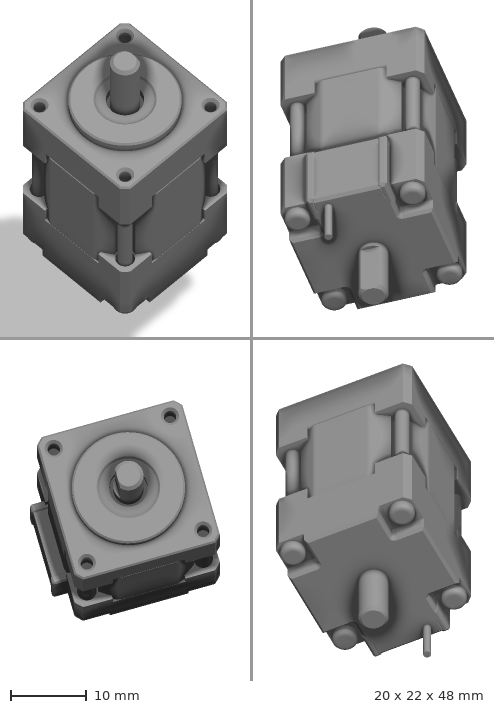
import cadquery as cq
import math


body_side = 20.0
body_height = 30.0
body_corner_diameter = 27.0
top_edge_chamfer = 0.25
bottom_edge_chamfer = 0.4
lower_cap_top = 11.0
upper_cap_bottom = 21.7

window_width = 10.0
window_bottom = 8.9
window_top = 24.0
window_depth = 1.0
window_bevel = 0.3

stator_diameter = 21.5
stator_across_flats = 19.95
stator_top = window_top - window_bevel
stator_groove_diameter = 3.0
stator_edge_fillet = 1.2

screw_offset = 8.0
screw_diameter = 2.0
screw_clearance_diameter = 2.6
screw_top = 24.5
screw_head_diameter = 3.4
screw_head_bottom = 0.4
screw_head_fillet = 0.65

pocket_inner_edge = 5.4
pocket_height = 1.75
pocket_corner_fillet = 0.4
pocket_floor_fillet = 0.3

mount_hole_diameter = 1.65
mount_sink_diameter = 2.4
mount_sink_depth = 0.45
mount_hole_depth = 4.0

boss_diameter = 15.0
boss_height = 1.5
boss_chamfer = 0.25
recess_diameter = 8.4
recess_floor_diameter = 7.9
recess_depth = 0.25
shaft_bore_diameter = 5.1
shaft_bore_depth = 1.5

shaft_diameter = 4.0
shaft_top = 40.0
shaft_bottom = -8.0
shaft_chamfer = 0.45
flat_offset = 1.5
upper_flat_start = 32.7
lower_flat_start = -0.6

connector_width = 11.2
connector_height = 9.1
connector_depth = 2.0
connector_chamfer = 0.25
connector_wall = 1.2
connector_setback = 0.2
pin_diameter = 1.05
pin_x = 3.0
pin_y = 10.2
pin_bottom = -5.6

half_side = body_side / 2
boss_top = body_height + boss_height
corner_points = [(sx * screw_offset, sy * screw_offset) for sx in (-1, 1) for sy in (-1, 1)]


def cylinder(diameter, bottom, top, points=((0, 0),)):
    """Upright cylinders of one size at the given points."""
    return (
        cq.Workplane("XY").workplane(offset=bottom)
        .pushPoints(points).circle(diameter / 2).extrude(top - bottom)
    )


def box(width, depth, bottom, top, center=(0, 0)):
    """Upright rectangular block."""
    return (
        cq.Workplane("XY").workplane(offset=bottom)
        .center(*center).rect(width, depth).extrude(top - bottom)
    )


def cone(bottom_diameter, top_diameter, bottom, top):
    """Upright truncated cone on the motor axis."""
    return (
        cq.Workplane("XY").workplane(offset=bottom).circle(bottom_diameter / 2)
        .workplane(offset=top - bottom).circle(top_diameter / 2).loft()
    )


def make_window():
    """Window cutter for the -Y side, with a bevel along its top."""
    inner_y = window_depth - half_side
    profile = [
        (-half_side, window_bottom),
        (inner_y, window_bottom),
        (inner_y, stator_top),
        (window_bevel - half_side, stator_top),
        (-half_side, window_top),
    ]
    return cq.Workplane("YZ").polyline(profile).close().extrude(window_width / 2, both=True)


def make_caps():
    """Both end caps, with head pockets below and windows at the sides."""
    block = box(body_side, body_side, 0, body_height)
    block = block.intersect(cylinder(body_corner_diameter, 0, body_height))
    block = block.faces(">Z").chamfer(top_edge_chamfer)

    pocket_side = 2 * (half_side - pocket_inner_edge)
    for x, y in corner_points:
        center = (math.copysign(half_side, x), math.copysign(half_side, y))
        pocket = box(pocket_side, pocket_side, 0, pocket_height, center)
        pocket = pocket.edges("|Z").fillet(pocket_corner_fillet)
        block = block.cut(pocket.faces(">Z").edges().fillet(pocket_floor_fillet))
    block = block.faces("<Z").chamfer(bottom_edge_chamfer)

    block = block.cut(box(body_side, body_side, lower_cap_top, upper_cap_bottom))
    block = block.cut(cylinder(screw_clearance_diameter, pocket_height, lower_cap_top, corner_points))
    for side in range(4):
        block = block.cut(make_window().rotate((0, 0, 0), (0, 0, 1), 90 * side))
    return block


def make_stator():
    """Round core with four flats and a groove beside each screw."""
    core = cylinder(stator_diameter, window_bottom, stator_top)
    core = core.intersect(box(stator_across_flats, stator_across_flats, window_bottom, stator_top))
    core = core.edges("|Z").fillet(stator_edge_fillet)
    return core.cut(cylinder(stator_groove_diameter, window_bottom, stator_top, corner_points))


def make_screws():
    """Four long screws with rounded heads underneath."""
    heads = cylinder(screw_head_diameter, screw_head_bottom, pocket_height, corner_points)
    heads = heads.faces("<Z").edges().fillet(screw_head_fillet)
    return heads.union(cylinder(screw_diameter, pocket_height, screw_top, corner_points))


def make_mount_holes():
    """Countersunk blind holes in the upper cap."""
    holes = cylinder(mount_hole_diameter, body_height - mount_hole_depth, body_height, corner_points)
    sink = cone(mount_hole_diameter, mount_sink_diameter, body_height - mount_sink_depth, body_height)
    for x, y in corner_points:
        holes = holes.union(sink.translate((x, y, 0)))
    return holes


def make_boss():
    """Pilot boss on the upper cap."""
    return cylinder(boss_diameter, body_height, boss_top).faces(">Z").chamfer(boss_chamfer)


def make_boss_recess():
    """Shallow tapered recess and the bore around the shaft."""
    recess = cone(recess_floor_diameter, recess_diameter, boss_top - recess_depth, boss_top)
    return recess.union(cylinder(shaft_bore_diameter, boss_top - shaft_bore_depth, boss_top))


def make_shaft():
    """Double-ended shaft with a flat on the +Y side of each end."""
    shaft = cylinder(shaft_diameter, shaft_bottom, shaft_top)
    shaft = shaft.faces("<Z or >Z").chamfer(shaft_chamfer)
    flat_center = (0, flat_offset + shaft_diameter / 2)
    for bottom, top in ((upper_flat_start, shaft_top), (shaft_bottom, lower_flat_start)):
        shaft = shaft.cut(box(shaft_diameter, shaft_diameter, bottom, top, flat_center))
    return shaft


def make_end_wall(x):
    """Bevelled end wall of the connector, centred at the given X."""
    wall = box(connector_wall, 2 * connector_depth, 0, connector_height, (x, half_side))
    wall = wall.faces("<Z").chamfer(bottom_edge_chamfer)
    wall = wall.faces(">Z").chamfer(connector_chamfer)
    return wall.edges("|Z and >Y").chamfer(connector_chamfer)


def make_connector():
    """Connector housing between two raised end walls, and its pin."""
    middle_width = connector_width - connector_wall
    middle_depth = 2 * (connector_depth - connector_setback)
    middle_top = connector_height - connector_setback
    connector = box(middle_width, middle_depth, 0, middle_top, (0, half_side))
    connector = connector.faces("<Z").chamfer(bottom_edge_chamfer)
    for x in (-middle_width / 2, middle_width / 2):
        connector = connector.union(make_end_wall(x))
    return connector.union(cylinder(pin_diameter, pin_bottom, middle_top / 2, ((pin_x, pin_y),)))


result = make_caps().union(make_stator())
result = result.union(make_screws()).union(make_boss())
result = result.cut(make_mount_holes()).cut(make_boss_recess())
result = result.union(make_shaft()).union(make_connector())